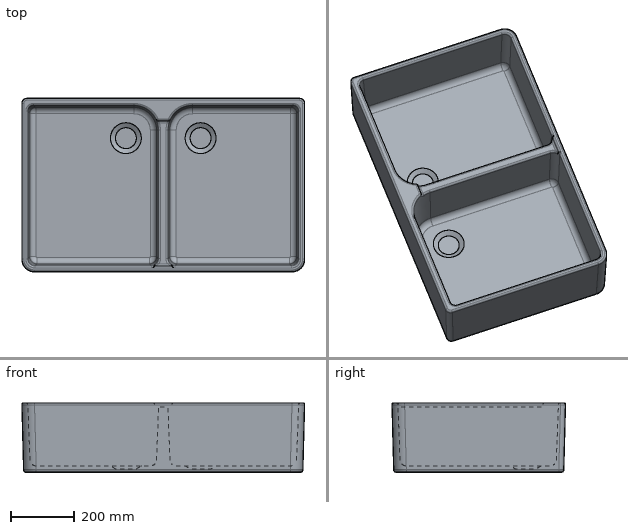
import cadquery as cq
import math

length = 895.0
width = 549.0
height = 220.0
outer_draft = 1.5
front_corner_radius = 40.0
back_corner_radius = 16.0
base_edge_radius = 9.0
rim_edge_radius = 6.0

rim_width = 19.0
back_rim_width = 22.0
divider_width = 29.0
bowl_draft = 2.2
floor_thickness = 21.0
bowl_front_corner_radius = 22.0
bowl_back_corner_radius = 18.0
faucet_corner_radius = 79.0
bowl_floor_radius = 20.0

saddle_drop = 13.0
saddle_back = 203.0
saddle_end_radius = 6.0
saddle_width = 54.0

drain_x = 118.0
drain_y = 148.5
drain_top_diameter = 97.5
drain_bottom_diameter = 66.0
drain_depth = 10.0

rounding_loss = rim_edge_radius * (1 / math.tan(math.radians(90 - outer_draft) / 2) - 1)

bowl_outer_x = length / 2 - rim_width
bowl_inner_x = divider_width / 2
bowl_front = -width / 2 + rim_width
bowl_back = width / 2 - back_rim_width
bowl_depth = height - floor_thickness
saddle_length = saddle_back - bowl_front
saddle_floor = height - saddle_drop


def make_body():
    """Drafted block, widest at the rim, with all its outer edges rounded."""
    body = (
        cq.Workplane("XY", origin=(0, 0, height))
        .rect(length + 2 * rounding_loss, width + 2 * rounding_loss)
        .extrude(-height, taper=outer_draft)
    )
    body = body.faces("<Y").edges("not |X").fillet(front_corner_radius)
    body = body.faces(">Y").edges("not |X").fillet(back_corner_radius)
    body = body.faces("<Z").edges().fillet(base_edge_radius)
    return body.faces(">Z").edges().fillet(rim_edge_radius)


def make_bowl():
    """Solid that fills the right-hand bowl, with a wide arc at its inner back corner."""
    bowl = (
        cq.Workplane("XY", origin=(0, 0, height))
        .moveTo(bowl_outer_x, bowl_front)
        .lineTo(bowl_outer_x, bowl_back)
        .lineTo(bowl_inner_x + faucet_corner_radius, bowl_back)
        .radiusArc((bowl_inner_x, bowl_back - faucet_corner_radius), -faucet_corner_radius)
        .lineTo(bowl_inner_x, bowl_front)
        .close()
        .extrude(-bowl_depth, taper=bowl_draft)
    )
    bowl = bowl.faces("<Y").edges("not |X").fillet(bowl_front_corner_radius)
    bowl = bowl.faces(">X").edges(">Y").edges("not |X").fillet(bowl_back_corner_radius)
    return bowl.faces("<Z").edges().fillet(bowl_floor_radius)


def make_drain():
    """Conical recess below the floor of the right-hand bowl."""
    return (
        cq.Workplane("XY", origin=(drain_x, drain_y, floor_thickness))
        .circle(drain_top_diameter / 2)
        .workplane(offset=-drain_depth)
        .circle(drain_bottom_diameter / 2)
        .loft()
    )


def make_saddle():
    """Bar that cuts the top of the divider, leaving a concave round at each end."""
    return (
        cq.Workplane("XY", origin=(0, bowl_front, saddle_floor))
        .box(saddle_width, saddle_length, saddle_drop, centered=(True, False, False))
        .faces("<Z")
        .edges("|X")
        .fillet(saddle_end_radius)
    )


def round_inner_rim(sink):
    """Round the upper edges of the basin opening and of the divider."""
    opening = sink.faces(">Z").val().innerWires()[0].Edges()
    divider = sink.faces(cq.selectors.BoxSelector(
        (-bowl_inner_x, bowl_front, saddle_floor - rim_edge_radius / 2),
        (bowl_inner_x, saddle_back, saddle_floor + rim_edge_radius / 2),
    ))
    divider = divider.faces("+Z").edges("|Y")
    return sink.newObject(opening + divider.vals()).fillet(rim_edge_radius)


right_basin = make_bowl().union(make_drain())
left_basin = right_basin.mirror("YZ")
sink = make_body().cut(right_basin).cut(left_basin).cut(make_saddle())
result = round_inner_rim(sink)